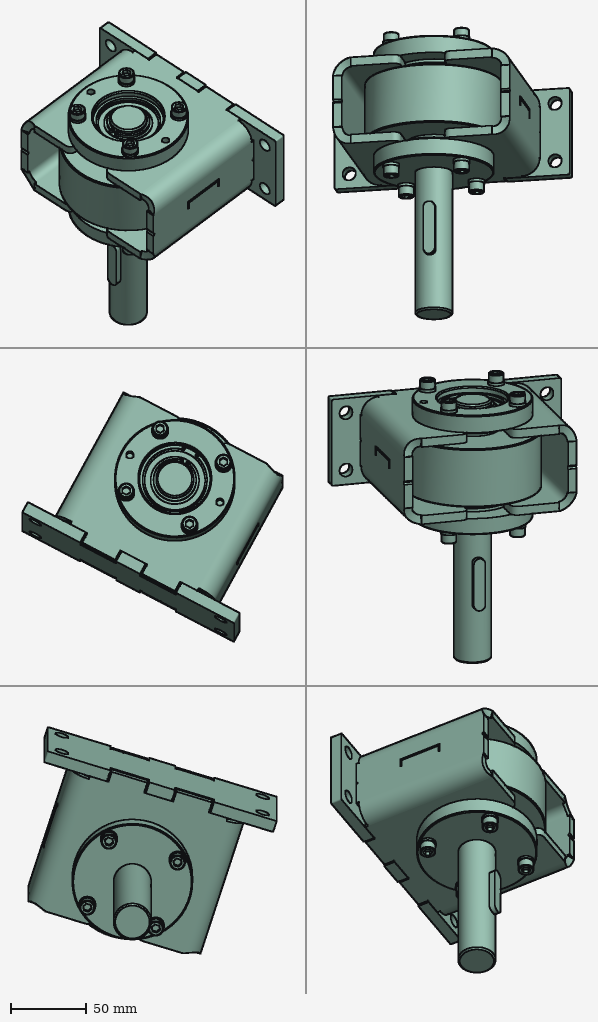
import cadquery as cq
import math


plate_width = 160.0
plate_height = 60.3
plate_thickness = 8.0
plate_corner_radius = 1.1
plate_back_y = 66.0
plate_front_y = plate_back_y - plate_thickness
plate_hole_diameter = 9.0
plate_hole_spacing_x = 140.0
plate_hole_spacing_z = 40.0

sheet = 6.0
bracket_width = 120.3
bracket_height = 60.0
bracket_front_y = -40.0
bracket_length = plate_front_y - bracket_front_y
bend_radius = 12.1
front_bite_depth = 2.3
back_relief_depth = 2.0
seam_notch_height = 2.5
seam_notch_depth = 1.1
mouth_width = 30.2
mouth_corner_radius = 5.0

tab_width = 24.9
tab_center_x = 22.5
tab_clearance = 1.1
tab_back_gap = 0.8

mark_length = 30.4
mark_height = sheet
mark_line_width = 1.0
mark_depth = 0.4

roller_radius = 46.0
roller_height = 40.6
roller_chamfer = 0.8
hub_radius = 17.6

flange_radius = 40.0
upper_flange_z = 42.0
lower_flange_z = -41.4
flange_chamfer = 0.8
spigot_radius = 26.0
spigot_end_z = 24.5
spigot_chamfer = 0.5
undercut_height = 2.5
undercut_depth = 1.0
dowel_hole_radius = 2.5
dowel_hole_depth = 5.7
dowel_hole_offset = 34.0

bore_radius = 23.5
bore_chamfer = 1.0
bearing_face_z = upper_flange_z - 6.0
shield_outer_radius = 20.1
shield_inner_radius = 16.1
shield_depth = 0.5

ring_thickness = 1.9
bore_ring_inner_radius = 21.5
bore_ring_ear_x = 5.7
bore_ring_ear_y = -22.0
shaft_ring_outer_radius = 14.2
shaft_ring_ear_x = 2.7
shaft_ring_ear_y = -13.7
ring_ear_radius = 1.5
ring_ear_hole_radius = 0.5

screw_offset = 23.9
screw_head_diameter = 10.0
screw_tip_z = 49.5
screw_chamfer = 0.5
socket_across_corners = 5.9
socket_depth = 3.0
washer_radius = 5.5
washer_thickness = 1.9

shaft_radius = 12.5
shaft_top_z = upper_flange_z - 1.3
overall_height = 189.7
shaft_bottom_z = screw_tip_z - overall_height
shaft_chamfer = 1.1
key_width = 8.0
key_length = 36.5
key_center_z = -84.2
key_face_y = -16.0


def cylinder(radius, z_low, z_high, x=0, y=0):
    return cq.Workplane("XY", origin=(x, y, z_low)).circle(radius).extrude(z_high - z_low)


def ring(outer_radius, inner_radius, z_low, z_high):
    sketch = cq.Workplane("XY", origin=(0, 0, z_low)).circle(outer_radius).circle(inner_radius)
    return sketch.extrude(z_high - z_low)


def block(x_size, y_low, y_high, z_low, z_high, x=0):
    center = (x, (y_low + y_high) / 2, (z_low + z_high) / 2)
    return cq.Workplane("XY").box(x_size, y_high - y_low, z_high - z_low).translate(center)


def make_plate():
    plate = block(plate_width, plate_front_y, plate_back_y, -plate_height / 2, plate_height / 2)
    plate = plate.edges("|Y").fillet(plate_corner_radius)
    holes = (
        cq.Workplane("XZ", origin=(0, plate_back_y, 0))
        .rarray(plate_hole_spacing_x, plate_hole_spacing_z, 2, 2)
        .circle(plate_hole_diameter / 2)
        .extrude(plate_thickness)
    )
    return plate.cut(holes)


def make_tabs(width, back_y, leaf_outer_z):
    """Four blocks through the plate thickness, two at each horizontal bracket leaf."""
    leaf_inner_z = bracket_height / 2 - sheet
    height = leaf_outer_z - leaf_inner_z
    tabs = cq.Workplane("XY")
    for x in (-tab_center_x, tab_center_x):
        for z_low in (leaf_inner_z, -leaf_outer_z):
            tabs = tabs.add(block(width, plate_front_y, back_y, z_low, z_low + height, x))
    return tabs.combine()


def make_folded_sheet():
    """Rectangular tube along Y with bent corners."""
    half_height = bracket_height / 2
    outer = block(bracket_width, bracket_front_y, plate_front_y, -half_height, half_height)
    outer = outer.edges("|Y").fillet(bend_radius)
    inner_width = bracket_width - 2 * sheet
    inner = block(inner_width, bracket_front_y, plate_front_y, sheet - half_height, half_height - sheet)
    inner = inner.edges("|Y").fillet(bend_radius - sheet)
    return outer.cut(inner)


def cut_spigot_opening(tube):
    """Bore for the spigots, open to the front through a mouth with rounded corners."""
    tube = tube.cut(block(mouth_width, bracket_front_y, 0, -bracket_height / 2, bracket_height / 2))
    corner_zone = cq.selectors.BoxSelector(
        (-mouth_width, bracket_front_y - sheet, -bracket_height),
        (mouth_width, bracket_front_y + sheet, bracket_height),
    )
    tube = tube.edges("|Z").edges(corner_zone).fillet(mouth_corner_radius)
    return tube.cut(cylinder(spigot_radius, -bracket_height / 2, bracket_height / 2))


def cut_bend_ends(tube):
    """Each bend has an arc-shaped bite at the front and a square relief at the back."""
    half_chord = bend_radius / math.sqrt(2)
    bite_radius = (half_chord**2 + front_bite_depth**2) / (2 * front_bite_depth)
    bend_x = bracket_width / 2 - bend_radius
    bend_z = bracket_height / 2 - bend_radius
    for side_x in (-1, 1):
        for side_z in (-1, 1):
            z_low = min(side_z * bend_z, side_z * bracket_height / 2)
            bend_zone = block(
                bend_radius,
                bracket_front_y,
                plate_front_y,
                z_low,
                z_low + bend_radius,
                side_x * (bend_x + bend_radius / 2),
            )
            bite_plane = cq.Plane(
                origin=(side_x * bend_x, bracket_front_y, side_z * bend_z),
                xDir=(0, 1, 0),
                normal=(side_x, 0, side_z),
            )
            bite = cq.Workplane(bite_plane).center(front_bite_depth - bite_radius, 0).circle(bite_radius)
            tube = tube.cut(bite.extrude(2 * bend_radius).intersect(bend_zone))
            tube = tube.cut(bend_zone.translate((0, bracket_length - back_relief_depth, 0)))
    return tube


def cut_seam_notches(tube):
    """V-shaped notches at mid-height of the front and back ends of the side walls."""
    for end_y, inward in ((bracket_front_y, 1), (plate_front_y, -1)):
        notch = (
            cq.Workplane("YZ", origin=(-bracket_width / 2, 0, 0))
            .moveTo(end_y, -seam_notch_height / 2)
            .lineTo(end_y + inward * seam_notch_depth, 0)
            .lineTo(end_y, seam_notch_height / 2)
            .close()
            .extrude(bracket_width)
        )
        tube = tube.cut(notch)
    return tube


def engrave_wall_marks(tube):
    """Three-sided outline, open at the bottom, in the outer face of each side wall."""
    y_low = bracket_front_y + (bracket_length - mark_length) / 2
    y_high = y_low + mark_length
    outline = block(bracket_width, y_low, y_high, 0, mark_height)
    inside = block(
        bracket_width,
        y_low + mark_line_width,
        y_high - mark_line_width,
        0,
        mark_height - mark_line_width,
    )
    core = block(bracket_width - 2 * mark_depth, y_low, y_high, 0, mark_height)
    return tube.cut(outline.cut(inside).cut(core))


def make_bracket():
    bracket = cut_spigot_opening(make_folded_sheet())
    bracket = cut_bend_ends(bracket)
    bracket = cut_seam_notches(bracket)
    return engrave_wall_marks(bracket)


def make_flange(outer_z):
    """Flange disc with an undercut spigot that sits in the bracket bore."""
    side = math.copysign(1, outer_z)
    seat_z = bracket_height / 2
    profile = [
        (0, spigot_end_z),
        (spigot_radius - spigot_chamfer, spigot_end_z),
        (spigot_radius, spigot_end_z + spigot_chamfer),
        (spigot_radius, seat_z - undercut_height),
        (spigot_radius - undercut_depth, seat_z - undercut_height),
        (spigot_radius - undercut_depth, seat_z),
        (flange_radius, seat_z),
        (flange_radius, abs(outer_z) - flange_chamfer),
        (flange_radius - flange_chamfer, abs(outer_z)),
        (0, abs(outer_z)),
    ]
    outline = cq.Workplane("XZ").polyline([(radius, side * z) for radius, z in profile]).close()
    return outline.revolve(360, (0, 0, 0), (0, 1, 0))


def cut_bearing_seat(flange):
    """Chamfered bore with a sunken bearing shield, and two blind dowel holes."""
    flange = flange.cut(cylinder(bore_radius, bearing_face_z, upper_flange_z))
    mouth = (
        cq.Workplane("XY", origin=(0, 0, upper_flange_z))
        .circle(bore_radius + bore_chamfer)
        .workplane(offset=-bore_chamfer)
        .circle(bore_radius)
        .loft()
    )
    flange = flange.cut(mouth)
    shield = ring(shield_outer_radius, shield_inner_radius, bearing_face_z - shield_depth, bearing_face_z)
    flange = flange.cut(shield)
    for x in (-dowel_hole_offset, dowel_hole_offset):
        hole = cylinder(dowel_hole_radius, upper_flange_z - dowel_hole_depth, upper_flange_z, x)
        flange = flange.cut(hole)
    return flange


def make_retaining_ring(outer_radius, inner_radius, ear_x, ear_y):
    """Ring with two drilled ears on the -Y side, resting on the bearing face."""
    z_low = bearing_face_z
    z_high = z_low + ring_thickness
    body = ring(outer_radius, inner_radius, z_low, z_high)
    gap_width = 2 * (ear_x - ring_ear_radius)
    body = body.cut(block(gap_width, -outer_radius, 0, z_low, z_high))
    for x in (-ear_x, ear_x):
        body = body.union(cylinder(ring_ear_radius, z_low, z_high, x, ear_y))
        body = body.cut(cylinder(ring_ear_hole_radius, z_low, z_high, x, ear_y))
    return body


def make_screw(x, y, flange_z):
    """Washer and socket head standing on the outer face of a flange."""
    thickness = abs(flange_z)
    washer = cylinder(washer_radius, thickness, thickness + washer_thickness, x, y)
    head = cylinder(screw_head_diameter / 2, thickness, screw_tip_z, x, y)
    head = head.faces(">Z").chamfer(screw_chamfer)
    socket = (
        cq.Workplane("XY", origin=(x, y, screw_tip_z))
        .polygon(6, socket_across_corners)
        .extrude(-socket_depth)
    )
    screw = washer.union(head).cut(socket)
    if flange_z < 0:
        screw = screw.mirror("XY")
    return screw


def make_roller():
    roller = cylinder(roller_radius, -roller_height / 2, roller_height / 2).edges().chamfer(roller_chamfer)
    return roller.union(cylinder(hub_radius, -spigot_end_z, spigot_end_z))


def make_shaft():
    shaft = cylinder(shaft_radius, shaft_bottom_z, shaft_top_z).edges().chamfer(shaft_chamfer)
    key = (
        cq.Workplane("XZ", origin=(0, 0, key_center_z))
        .slot2D(key_length, key_width, 90)
        .extrude(-key_face_y)
    )
    return shaft.union(key)


tab_slots = make_tabs(tab_width + 2 * tab_clearance, plate_back_y, plate_height / 2)
tabs = make_tabs(tab_width, plate_back_y - tab_back_gap, bracket_height / 2)
frame = make_plate().cut(tab_slots).union(make_bracket()).union(tabs)

result = frame.union(make_roller())
result = result.union(cut_bearing_seat(make_flange(upper_flange_z)))
result = result.union(make_flange(lower_flange_z))
result = result.union(make_shaft())
bore_ring = make_retaining_ring(bore_radius, bore_ring_inner_radius, bore_ring_ear_x, bore_ring_ear_y)
shaft_ring = make_retaining_ring(shaft_ring_outer_radius, shaft_radius, shaft_ring_ear_x, shaft_ring_ear_y)
result = result.union(bore_ring).union(shaft_ring)
for flange_z in (upper_flange_z, lower_flange_z):
    for x in (-screw_offset, screw_offset):
        for y in (-screw_offset, screw_offset):
            result = result.union(make_screw(x, y, flange_z))